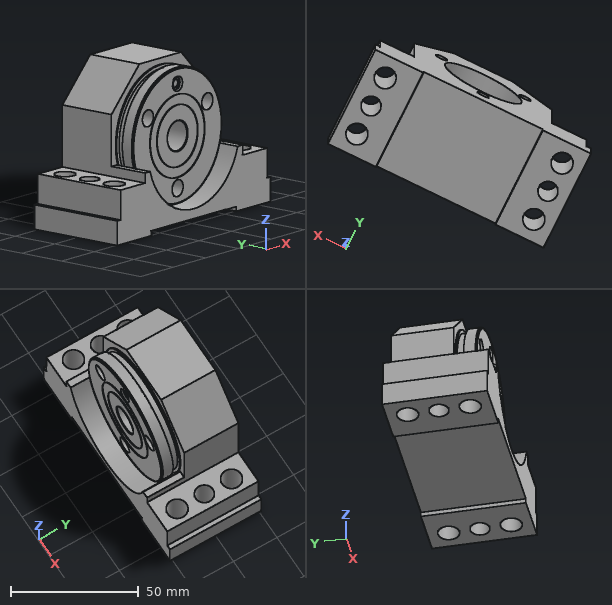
import cadquery as cq
import math

width = 94.0
depth = 42.0
height = 64.0

shoulder_width = 90.0
ledge_height = 10.0
shoulder_height = 22.0
relief_width = 52.0
relief_height = 2.0

tower_width = 60.0
corner_chamfer = 17.1
tower_depth = 25.0
front_lip_height = 26.0
tower_front = depth - tower_depth

foot_hole_x = 38.5
foot_bolt_pitch = 25.0
foot_bolt_diameter = 8.6
dowel_diameter = 7.8

axis_height = 34.0
bearing_diameter = 55.0
bearing_width = 25.0
bearing_projection = 8.7
bore_diameter = 12.0
bore_chamfer = 0.3
bearing_front = tower_front - bearing_projection

bevel_length = 0.7
bevel_inset = 0.6
bevel_break_length = 0.3
bevel_break_inset = 0.2

rim_groove_offset = 5.3
rim_groove_width = 2.9
rim_groove_depth = 1.5

seal_outer_diameter = 33.5
seal_inner_diameter = 25.0
seal_recess_depth = 0.3

bolt_circle_diameter = 42.0
mounting_hole_diameter = 6.8
tapped_hole_diameter = 5.0
mounting_angles = [30, 150, 270]
port_angle = 90
port_mouth_diameter = 6.0
port_floor_diameter = 5.0
port_depth = 0.8
port_bore_diameter = 3.4
port_bore_depth = 1.3

front_recess_diameter = 56.0
clearance_bore_diameter = seal_outer_diameter


def cylinder(diameter, start_y, length, x=0.0, z=axis_height):
    """Cylinder along +Y that starts at start_y."""
    start = cq.Vector(x, start_y, z)
    return cq.Workplane(cq.Solid.makeCylinder(diameter / 2, length, start, cq.Vector(0, 1, 0)))


def bolt_circle_point(angle):
    """X and Z of the place at this angle on the bolt circle."""
    radius = bolt_circle_diameter / 2
    turn = math.radians(angle)
    return radius * math.cos(turn), axis_height + radius * math.sin(turn)


def make_housing_blank():
    """Foot and tower outline, cut back at the front above the lip."""
    half_outline = [
        (0, relief_height),
        (relief_width / 2, relief_height),
        (relief_width / 2, 0),
        (width / 2, 0),
        (width / 2, ledge_height),
        (shoulder_width / 2, ledge_height),
        (shoulder_width / 2, shoulder_height),
        (tower_width / 2, shoulder_height),
        (tower_width / 2, height - corner_chamfer),
        (tower_width / 2 - corner_chamfer, height),
        (0, height),
    ]
    blank = cq.Workplane("XZ").polyline(half_outline).mirrorY().extrude(-depth)
    front_step = cq.Workplane("XY").box(width, tower_front, height, centered=(True, False, False))
    return blank.cut(front_step.translate((0, 0, front_lip_height)))


def make_housing():
    """Pillow block with its bearing seat, tapped holes and foot holes."""
    housing = make_housing_blank()
    housing = housing.cut(cylinder(front_recess_diameter, 0, tower_front))
    housing = housing.cut(cylinder(bearing_diameter, bearing_front, bearing_width))
    housing = housing.cut(cylinder(clearance_bore_diameter, 0, depth))

    for angle in mounting_angles:
        x, z = bolt_circle_point(angle)
        housing = housing.cut(cylinder(tapped_hole_diameter, tower_front, tower_depth, x, z))

    foot_holes = [
        (-foot_bolt_pitch / 2, foot_bolt_diameter),
        (0, dowel_diameter),
        (foot_bolt_pitch / 2, foot_bolt_diameter),
    ]
    for x in (-foot_hole_x, foot_hole_x):
        for y_offset, diameter in foot_holes:
            hole = cq.Workplane("XY").center(x, depth / 2 + y_offset).circle(diameter / 2).extrude(height)
            housing = housing.cut(hole)
    return housing


def ring(outer_diameter, inner_diameter, start_y, length):
    """Ring around the bearing axis."""
    return cylinder(outer_diameter, start_y, length).cut(cylinder(inner_diameter, start_y, length))


def make_lubrication_port():
    """Tapered recess with a smaller blind hole in its floor, as the solid to cut away."""
    x, z = bolt_circle_point(port_angle)
    mouth_center = cq.Vector(x, bearing_front, z)
    inward = cq.Vector(0, 1, 0)
    taper = cq.Solid.makeCone(port_mouth_diameter / 2, port_floor_diameter / 2, port_depth, mouth_center, inward)
    return cq.Workplane(taper).union(cylinder(port_bore_diameter, bearing_front, port_bore_depth, x, z))


def make_bearing_blank():
    """Turned ring with the beveled front rim and the chamfered bore."""
    outer_radius = bearing_diameter / 2
    bore_radius = bore_diameter / 2
    bearing_back = bearing_front + bearing_width
    section = [
        (bore_radius, bearing_back),
        (bore_radius, bearing_front + bore_chamfer),
        (bore_radius + bore_chamfer, bearing_front),
        (outer_radius - bevel_inset, bearing_front),
        (outer_radius - bevel_break_inset, bearing_front + bevel_break_length),
        (outer_radius, bearing_front + bevel_length),
        (outer_radius, bearing_back),
    ]
    turned = cq.Workplane("XY").polyline(section).close().revolve(360, (0, 0, 0), (0, 1, 0))
    return turned.translate((0, 0, axis_height))


def make_bearing():
    """Bearing unit with rim groove, seal recess, mounting holes and lubrication port."""
    bearing = make_bearing_blank()

    rim_floor_diameter = bearing_diameter - 2 * rim_groove_depth
    rim_groove_start = bearing_front + rim_groove_offset
    bearing = bearing.cut(ring(bearing_diameter, rim_floor_diameter, rim_groove_start, rim_groove_width))
    bearing = bearing.cut(ring(seal_outer_diameter, seal_inner_diameter, bearing_front, seal_recess_depth))

    for angle in mounting_angles:
        x, z = bolt_circle_point(angle)
        bearing = bearing.cut(cylinder(mounting_hole_diameter, bearing_front, bearing_width, x, z))
    return bearing.cut(make_lubrication_port())


housing = make_housing()
bearing = make_bearing()
result = cq.Compound.makeCompound([housing.val(), bearing.val()])